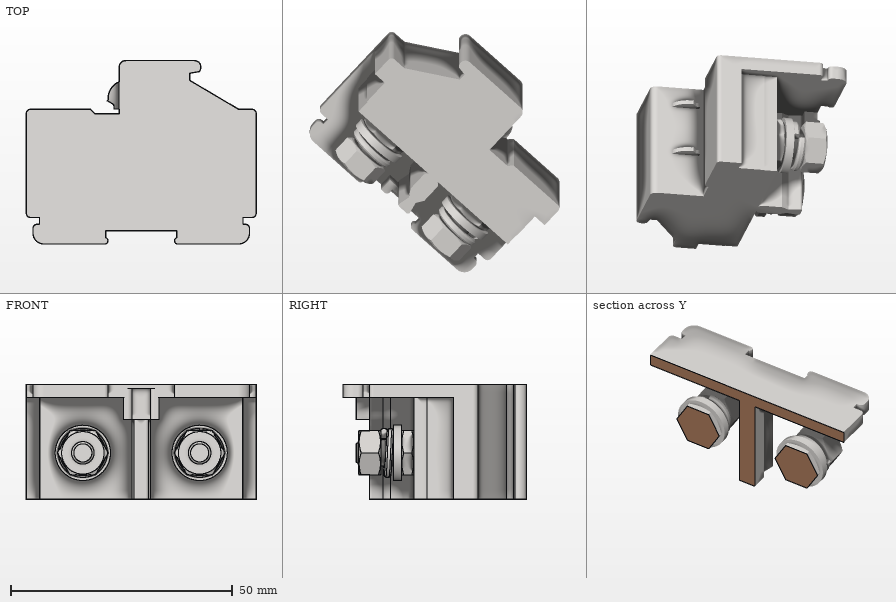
import cadquery as cq
import math

width = 52.0
depth = 41.5
height = 26.0
half_width = width / 2
plate_thickness = 3.0
plate_bottom = height - plate_thickness

corner_radius = 1.0
shoulder_y = 30.5
front_edge_y = 6.0
tower_left_x = -5.0
tower_corner_radius = 1.5
ledge_y = 29.5
ledge_left_x = -10.5
ledge_slope_width = 1.0
hook_radius = 1.5
hook_center_x = 12.0
hook_center_y = depth - hook_radius
hook_end_angle = -45.0
hook_root_x = 11.0
hook_root_y = 38.6
ramp_start_y = 37.0
ramp_end_x = 22.0

neck_half_width = 23.0
foot_half_width = 24.5
foot_top_y = 4.5
foot_top_radius = 1.0
foot_toe_radius = 2.5
slot_half_width = 8.0
slot_depth = 3.0
bead_radius = 0.75
bead_center_x = 8.25

wall_front_y = 25.0
terminal_face_y = 16.1
side_step_y = 19.0
side_half_width = 23.0
side_step = 0.15

rib_root_half = 2.1
rib_waist_half = 1.0
rib_tip_half = 1.6
rib_root_end_y = 10.8
rib_waist_y = 9.1
rib_tip_radius = 0.5
rib_undercut = 1.0

block_half_width = 4.0
block_bottom = 18.0
channel_half_width = 2.1
channel_depth = 1.7
channel_mouth_radius = 0.85
channel_top = 25.0

tab_thickness = 0.9
tab_heights = (9.8, 21.25)
tab_inset = 1.0
tab_rear_y = 36.7
tab_front_y = 30.5
tab_back_middle = (-7.0, 34.9)
tab_back_end = (-7.5, 32.6)
tab_tip = (-7.7, 32.4)
tab_heel_start = (-6.6, 31.75)
tab_heel_middle = (-6.3, 31.5)
tab_foot_x = -6.2
tab_heel_end_y = 31.0

stud_spacing = 26.4
stud_z = 10.5
stud_diameter = 6.0
stud_tip_y = 3.0
tip_base_diameter = 5.1
tip_end_diameter = 4.1
nut_across_flats = 10.0
nut_face_diameter = 9.6
nut_chamfer_angle = 30.0
clamp_nut_front_y = 13.2
washer_diameter = 12.5
washer_front_y = 11.45
nut_rear_y = 8.6
nut_front_y = 3.55
spring_inner_diameter = 6.6
spring_outer_diameter = 11.1
spring_thickness = 1.5
spring_edge_chamfer = 0.4
spring_gap_angle = 8.0
left_split_angle = 180.0
right_split_angle = 90.0
contact_overlap = 0.05


def polar(center_x, center_y, radius, angle):
    """Point on a circle, angle in degrees."""
    a = math.radians(angle)
    return (center_x + radius * math.cos(a), center_y + radius * math.sin(a))


def corner_arc(path, center_x, center_y, radius, start, end):
    """Continue a path with a line to a circular arc and then along it."""
    path = path.lineTo(*polar(center_x, center_y, radius, start))
    middle = polar(center_x, center_y, radius, (start + end) / 2)
    return path.threePointArc(middle, polar(center_x, center_y, radius, end))


def rear_edge(path):
    """Rear half of the housing outline, from the left wall round to the right wall."""
    rear_corner_y = shoulder_y - corner_radius
    path = corner_arc(path, -half_width + corner_radius, rear_corner_y, corner_radius, 180, 90)
    path = path.lineTo(ledge_left_x - ledge_slope_width, shoulder_y).lineTo(ledge_left_x, ledge_y)
    path = path.lineTo(tower_left_x, ledge_y)
    path = corner_arc(path, tower_left_x + tower_corner_radius, depth - tower_corner_radius,
                      tower_corner_radius, 180, 90)
    path = corner_arc(path, hook_center_x, hook_center_y, hook_radius, 90, hook_end_angle)
    path = path.lineTo(hook_root_x, hook_root_y).lineTo(hook_root_x, ramp_start_y)
    path = path.lineTo(ramp_end_x, shoulder_y)
    return corner_arc(path, half_width - corner_radius, rear_corner_y, corner_radius, 90, 0)


def cover_plate():
    """Top plate with the hooked feet along its front edge."""
    front_corner_y = front_edge_y + corner_radius
    outer_x = half_width - corner_radius
    toe_x = foot_half_width - foot_toe_radius
    shoulder_x = foot_half_width - foot_top_radius
    shoulder_center_y = foot_top_y - foot_top_radius
    bead_top_angle = math.degrees(math.acos((bead_center_x - slot_half_width) / bead_radius))

    start = cq.Workplane("XY").workplane(offset=plate_bottom).moveTo(-half_width, front_corner_y)
    path = rear_edge(start)
    path = corner_arc(path, outer_x, front_corner_y, corner_radius, 0, -90)
    path = path.lineTo(neck_half_width, front_edge_y).lineTo(neck_half_width, foot_top_y)
    path = corner_arc(path, shoulder_x, shoulder_center_y, foot_top_radius, 90, 0)
    path = corner_arc(path, toe_x, foot_toe_radius, foot_toe_radius, 0, -90)
    path = corner_arc(path, bead_center_x, bead_radius, bead_radius, 270, 180 - bead_top_angle)
    path = path.lineTo(slot_half_width, slot_depth).lineTo(-slot_half_width, slot_depth)
    path = corner_arc(path, -bead_center_x, bead_radius, bead_radius, bead_top_angle, -90)
    path = corner_arc(path, -toe_x, foot_toe_radius, foot_toe_radius, -90, -180)
    path = corner_arc(path, -shoulder_x, shoulder_center_y, foot_top_radius, 180, 90)
    path = path.lineTo(-neck_half_width, foot_top_y).lineTo(-neck_half_width, front_edge_y)
    path = corner_arc(path, -outer_x, front_corner_y, corner_radius, 270, 180)
    return path.close().extrude(plate_thickness)


def lower_body():
    """Body below the plate, stepped back at the front for the terminals."""
    path = rear_edge(cq.Workplane("XY").moveTo(-half_width, wall_front_y))
    path = path.lineTo(half_width, wall_front_y)
    front_half_width = side_half_width - side_step
    right_side = [
        (side_half_width, wall_front_y),
        (side_half_width, side_step_y),
        (front_half_width, side_step_y),
        (front_half_width, terminal_face_y),
    ]
    for x, y in right_side:
        path = path.lineTo(x, y)
    for x, y in reversed(right_side):
        path = path.lineTo(-x, y)
    return path.close().extrude(plate_bottom)


def center_rib():
    """Waisted rib standing forward between the terminals, symmetric about X = 0."""
    flat_half = rib_tip_half - rib_tip_radius
    tip_center_y = front_edge_y + rib_tip_radius
    undercut_end_y = terminal_face_y - rib_undercut
    root_half = rib_root_half - rib_undercut
    path = cq.Workplane("XY").moveTo(0, terminal_face_y)
    path = corner_arc(path, -root_half, undercut_end_y, rib_undercut, 90, 180)
    path = path.lineTo(-rib_root_half, rib_root_end_y).lineTo(-rib_waist_half, rib_waist_y)
    path = corner_arc(path, -flat_half, tip_center_y, rib_tip_radius, 180, 270)
    path = corner_arc(path, flat_half, tip_center_y, rib_tip_radius, 270, 360)
    path = path.lineTo(rib_waist_half, rib_waist_y).lineTo(rib_root_half, rib_root_end_y)
    path = corner_arc(path, root_half, undercut_end_y, rib_undercut, 0, 90)
    return path.close().extrude(plate_bottom)


def front_block():
    """Block under the plate's front opening."""
    return cq.Workplane("XY").box(
        2 * block_half_width, front_edge_y - slot_depth, plate_bottom - block_bottom,
        centered=(True, False, False),
    ).translate((0, slot_depth, block_bottom))


def channel():
    """Cutter for the vertical channel with rounded mouth edges in the front block."""
    mouth_half = channel_half_width + channel_mouth_radius
    mouth_center_y = slot_depth + channel_mouth_radius
    back_y = slot_depth + channel_depth
    path = cq.Workplane("XY").workplane(offset=block_bottom).moveTo(0, slot_depth)
    path = corner_arc(path, mouth_half, mouth_center_y, channel_mouth_radius, 270, 180)
    path = path.lineTo(channel_half_width, back_y).lineTo(-channel_half_width, back_y)
    path = corner_arc(path, -mouth_half, mouth_center_y, channel_mouth_radius, 0, -90)
    return path.close().extrude(channel_top - block_bottom)


def locking_tab(bottom):
    """Thin curved tab projecting from the left wall of the tower."""
    root_x = tower_left_x + tab_inset
    return (
        cq.Workplane("XY").workplane(offset=bottom)
        .moveTo(root_x, tab_rear_y)
        .lineTo(tower_left_x, tab_rear_y)
        .threePointArc(tab_back_middle, tab_back_end)
        .lineTo(*tab_tip)
        .lineTo(*tab_heel_start)
        .threePointArc(tab_heel_middle, (tab_foot_x, tab_heel_end_y))
        .lineTo(tab_foot_x, tab_front_y)
        .lineTo(root_x, tab_front_y)
        .close().extrude(tab_thickness)
    )


def rod(diameter, rear_y, front_y):
    """Cylinder along Y on the axis X = Z = 0."""
    return cq.Workplane("XZ", origin=(0, rear_y, 0)).circle(diameter / 2).extrude(rear_y - front_y)


def hex_nut(rear_y, front_y):
    """Hexagon with horizontal flats, its corners chamfered conically at both ends."""
    length = rear_y - front_y
    across_corners = nut_across_flats / math.cos(math.pi / 6)
    face_radius = nut_face_diameter / 2
    rim_radius = across_corners / 2
    chamfer = (rim_radius - face_radius) * math.tan(math.radians(nut_chamfer_angle))
    prism = cq.Workplane("XZ", origin=(0, rear_y, 0)).polygon(6, across_corners).extrude(length)
    envelope = (
        cq.Workplane("XY")
        .moveTo(0, front_y)
        .lineTo(face_radius, front_y)
        .lineTo(rim_radius, front_y + chamfer)
        .lineTo(rim_radius, rear_y - chamfer)
        .lineTo(face_radius, rear_y)
        .lineTo(0, rear_y)
        .close().revolve(360, (0, 0, 0), (0, 1, 0))
    )
    return prism.intersect(envelope)


def stud_tip():
    """Tapered end of the stud in front of the nut."""
    return (
        cq.Workplane("XY")
        .moveTo(0, stud_tip_y)
        .lineTo(tip_end_diameter / 2, stud_tip_y)
        .lineTo(tip_base_diameter / 2, nut_front_y)
        .lineTo(0, nut_front_y)
        .close().revolve(360, (0, 0, 0), (0, 1, 0))
    )


def spring_washer(split_angle):
    """Split lock washer: one helical turn between flat washer and nut."""
    rear_y = washer_front_y + contact_overlap
    rise = rear_y - (nut_rear_y - contact_overlap) - spring_thickness
    turn = 360 - spring_gap_angle
    pitch = rise * 360 / turn
    inner = spring_inner_diameter / 2
    outer = spring_outer_diameter / 2
    helix = cq.Wire.makeHelix(pitch, rise, inner, lefthand=True)
    section = (
        cq.Workplane("XZ")
        .moveTo(inner, 0)
        .lineTo(outer - spring_edge_chamfer, 0)
        .lineTo(outer, spring_edge_chamfer)
        .lineTo(outer, spring_thickness - spring_edge_chamfer)
        .lineTo(outer - spring_edge_chamfer, spring_thickness)
        .lineTo(inner, spring_thickness)
        .close()
    )
    coil = section.sweep(cq.Workplane(obj=helix), isFrenet=True)
    upright = coil.rotate((0, 0, 0), (1, 0, 0), 90).translate((0, rear_y, 0))
    return upright.rotate((0, 0, 0), (0, 1, 0), spring_gap_angle - split_angle)


def terminal(x, split_angle):
    """Stud with clamp nut, flat washer, lock washer and outer nut."""
    parts = (
        rod(stud_diameter, terminal_face_y, (nut_rear_y + nut_front_y) / 2)
        .union(stud_tip())
        .union(hex_nut(terminal_face_y, clamp_nut_front_y))
        .union(rod(washer_diameter, clamp_nut_front_y, washer_front_y))
        .union(spring_washer(split_angle))
        .union(hex_nut(nut_rear_y, nut_front_y))
    )
    return parts.translate((x, 0, stud_z))


result = cover_plate().union(lower_body()).union(center_rib()).union(front_block()).cut(channel())
for tab_bottom in tab_heights:
    result = result.union(locking_tab(tab_bottom))
for terminal_x, split in ((-stud_spacing / 2, left_split_angle), (stud_spacing / 2, right_split_angle)):
    result = result.union(terminal(terminal_x, split))